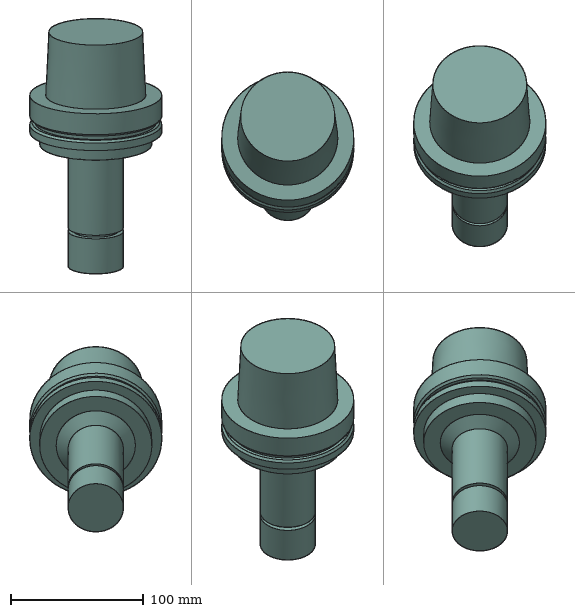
import cadquery as cq

total_height = 185.0
taper_height = 50.0
flange_height = 29.0
collar_height = 9.8
cone_height = 6.5
cap_height = 27.8
neck_gap = 2.8

taper_top_diameter = 71.2
taper_base_diameter = 75.8
flange_diameter = 100.0
groove_diameter = 92.0
collar_diameter = 85.0
cone_top_diameter = 60.0
shank_diameter = 42.0
neck_diameter = 33.5

groove_width = 3.3
groove_chamfer = 1.7
lower_rim_height = 6.0

flange_top = total_height - taper_height
flange_bottom = flange_top - flange_height
collar_bottom = flange_bottom - collar_height
shank_top = collar_bottom - cone_height
shank_bottom = cap_height + neck_gap
groove_bottom = flange_bottom + lower_rim_height + groove_chamfer


def cylinder(diameter, bottom, top):
    return cq.Workplane("XY").workplane(offset=bottom).circle(diameter / 2).extrude(top - bottom)


def frustum(bottom_diameter, top_diameter, bottom, top):
    """Solid of revolution with a straight tapered side, centred on Z."""
    profile = [(0, bottom), (bottom_diameter / 2, bottom), (top_diameter / 2, top), (0, top)]
    return cq.Workplane("XZ").polyline(profile).close().revolve(360, (0, 0), (0, 1))


def make_flange():
    """Gripping flange with a groove whose two outer edges are chamfered."""
    groove_top = groove_bottom + groove_width
    lip_diameter = flange_diameter - 2 * groove_chamfer
    lower_lip_start = groove_bottom - groove_chamfer
    upper_lip_end = groove_top + groove_chamfer
    lower_rim = cylinder(flange_diameter, flange_bottom, lower_lip_start)
    lower_lip = frustum(flange_diameter, lip_diameter, lower_lip_start, groove_bottom)
    groove_core = cylinder(groove_diameter, groove_bottom, groove_top)
    upper_lip = frustum(lip_diameter, flange_diameter, groove_top, upper_lip_end)
    upper_rim = cylinder(flange_diameter, upper_lip_end, flange_top)
    return lower_rim.union(lower_lip).union(groove_core).union(upper_lip).union(upper_rim)


def make_holder():
    """Tapered tool holder with its flange, collar, shank and end neck."""
    taper = frustum(taper_base_diameter, taper_top_diameter, flange_top, total_height)
    collar = cylinder(collar_diameter, collar_bottom, flange_bottom)
    cone = frustum(shank_diameter, cone_top_diameter, shank_top, collar_bottom)
    shank = cylinder(shank_diameter, shank_bottom, shank_top)
    neck = cylinder(neck_diameter, cap_height, shank_bottom)
    return make_flange().union(taper).union(collar).union(cone).union(shank).union(neck)


def make_end_cap():
    """Plain cylindrical cap seated against the end of the neck."""
    return cylinder(shank_diameter, 0, cap_height)


holder = make_holder()
end_cap = make_end_cap()

result = cq.Compound.makeCompound([holder.solids().val(), end_cap.val()])